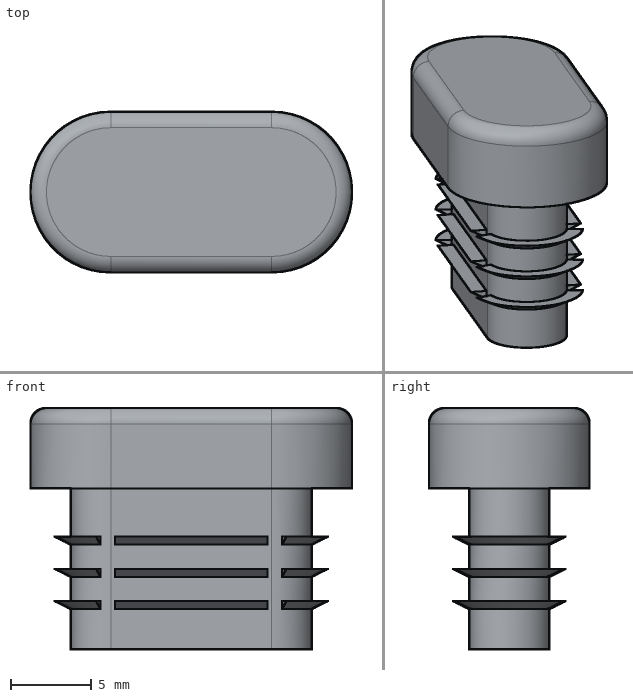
import cadquery as cq

cap_length = 20.0
cap_width = 10.0
cap_height = 5.0
cap_edge_radius = 1.0

stem_length = 15.0
stem_width = 5.0
stem_height = 10.0

barb_reach = 1.0
barb_height = 0.5
barb_tops = (3.0, 5.0, 7.0)
straight_barb_length = 9.5
end_barb_angle = 150.0
barb_overlap = 0.2

stem_radius = stem_width / 2
end_center_x = (stem_length - stem_width) / 2


def barb_outline(workplane, top):
    """Barb section with its root buried in the stem."""
    root = stem_radius - barb_overlap
    return (
        workplane.moveTo(root, top - barb_height)
        .lineTo(stem_radius, top - barb_height)
        .lineTo(stem_radius + barb_reach, top)
        .lineTo(root, top)
        .close()
    )


def straight_barb(top):
    """Barb along the flat +Y side of the stem."""
    return barb_outline(cq.Workplane("YZ"), top).extrude(straight_barb_length / 2, both=True)


def end_barb(top):
    """Barb wrapped around the rounded +X end, symmetric about the X axis."""
    barb = barb_outline(cq.Workplane("XZ"), top).revolve(end_barb_angle, (0, 0), (0, 1))
    centred = barb.rotate((0, 0, 0), (0, 0, 1), -end_barb_angle / 2)
    return centred.translate((end_center_x, 0, 0))


stem = cq.Workplane("XY").slot2D(stem_length, stem_width).extrude(stem_height)
cap = (
    cq.Workplane("XY")
    .workplane(offset=stem_height)
    .slot2D(cap_length, cap_width)
    .extrude(cap_height)
    .faces(">Z")
    .edges()
    .fillet(cap_edge_radius)
)
result = stem.union(cap)

for barb_top in barb_tops:
    for barb in (straight_barb(barb_top), end_barb(barb_top)):
        opposite_barb = barb.rotate((0, 0, 0), (0, 0, 1), 180)
        result = result.union(barb).union(opposite_barb)